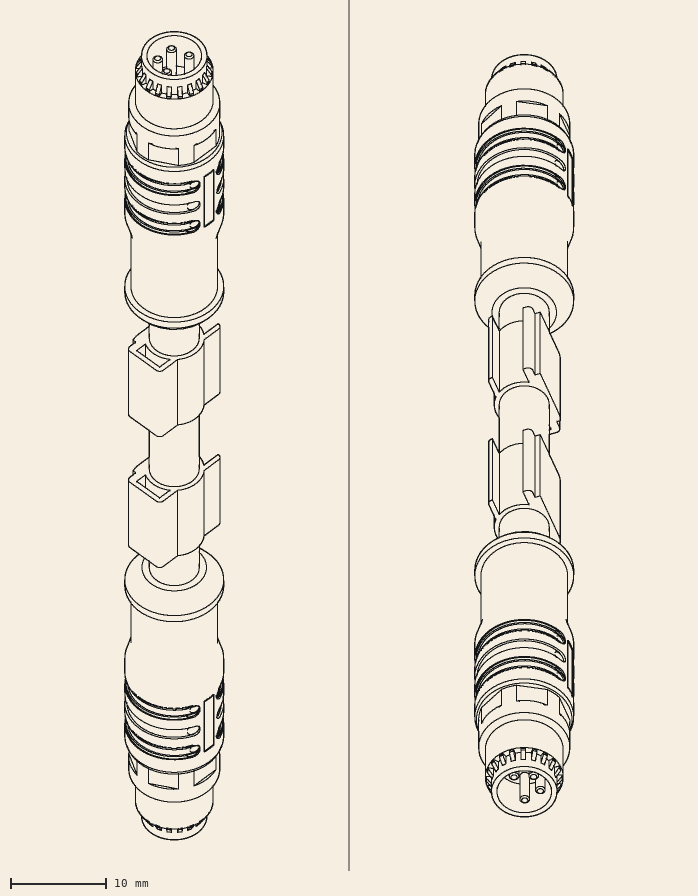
import cadquery as cq
import math

total_length = 116.4
end_z = total_length / 2
key_angle = 20.0

cable_radius = 5.2 / 2

nose_radius = 6.9 / 2
barrel_radius = 4.1
nut_radius = 4.8
grip_radius = 10.4 / 2
boot_radius = 4.5
boot_end_radius = 3.4
barrel_start = 2.3
nut_start = 7.2
nut_slope_length = 0.3
grip_start = 11.8
taper_start = 24.2
boot_start = 26.7
collar_start = 35.3
collar_end = 36.2
connector_length = 38.1
grip_chamfer_length = 0.5
grip_chamfer_depth = 0.17
collar_bulge = 0.1

bore_radius = 5.7 / 2
bore_depth = 4.7
pin_radius = 0.5
pin_circle_radius = 1.7
pin_recess = 0.7
pin_chamfer = 0.17
pin_places = 5

rib_count = 20
rib_start = 1.2
rib_width = 0.5
rib_outer_radius = 4.0
rib_foot_length = 0.2

flat_count = 6
flat_distance = 9.0 / 2
flat_start = 9.2

groove_middle = 18.0
groove_pitch = 3.0
middle_groove_width = 1.4
middle_groove_depth = 0.2
outer_groove_width = 1.7
outer_groove_depth = 0.1
inner_groove_width = 1.0
inner_groove_depth = 0.29
groove_end_angle = 14.0
panel_width = 1.4
panel_length = 7.7
panel_depth = 0.1

clip_length = 10.0
clip_gap = 10.0
clip_half_width = 4.7
clip_back_x = -2.5
clip_front_x = 2.5
clip_wall = 0.6
clip_base_thickness = 0.9
clip_corner_radius = 0.52
clip_ring_radius = 3.1
label_face_x = -3.0
label_low_y = -3.3
label_bend_y = -2.2
label_high_y = 3.5
label_bend_drop = 0.17


def connector_body():
    """Turned body of the upper connector, from its mating end down to the cable."""
    bulge_point = (
        (grip_radius + boot_end_radius) / 2 + collar_bulge,
        end_z - (collar_end + connector_length) / 2 - collar_bulge,
    )
    return (
        cq.Workplane("XZ")
        .moveTo(0, end_z)
        .lineTo(nose_radius, end_z)
        .lineTo(nose_radius, end_z - barrel_start)
        .lineTo(barrel_radius, end_z - barrel_start)
        .lineTo(barrel_radius, end_z - nut_start + nut_slope_length)
        .lineTo(nut_radius, end_z - nut_start)
        .lineTo(nut_radius, end_z - grip_start)
        .lineTo(grip_radius - grip_chamfer_depth, end_z - grip_start)
        .lineTo(grip_radius, end_z - grip_start - grip_chamfer_length)
        .lineTo(grip_radius, end_z - taper_start)
        .lineTo(boot_radius, end_z - boot_start)
        .lineTo(boot_radius, end_z - collar_start)
        .lineTo(grip_radius, end_z - collar_start)
        .lineTo(grip_radius, end_z - collar_end)
        .threePointArc(bulge_point, (boot_end_radius, end_z - connector_length))
        .lineTo(0, end_z - connector_length)
        .close()
        .revolve(360, (0, 0, 0), (0, 1, 0))
    )


def socket():
    """Bore in the nose, keeping the contact pins that stand on its floor."""
    floor_z = end_z - bore_depth
    bore = cq.Workplane("XY").workplane(offset=floor_z).circle(bore_radius).extrude(bore_depth)
    angles = [math.radians(360 / pin_places * place) for place in range(1, pin_places)]
    centres = [(pin_circle_radius * math.cos(a), pin_circle_radius * math.sin(a)) for a in angles]
    pins = (
        cq.Workplane("XY")
        .workplane(offset=floor_z)
        .pushPoints(centres)
        .circle(pin_radius)
        .extrude(bore_depth - pin_recess)
        .faces(">Z")
        .chamfer(pin_chamfer)
    )
    return bore.cut(pins)


def rib():
    """Gusset rib on the +X side, its foot on the step and its back inside the nose wall."""
    back_radius = (bore_radius + nose_radius) / 2
    return (
        cq.Workplane("XZ")
        .moveTo(back_radius, end_z - barrel_start)
        .lineTo(back_radius, end_z - rib_start)
        .lineTo(nose_radius, end_z - rib_start)
        .lineTo(rib_outer_radius, end_z - barrel_start + rib_foot_length)
        .lineTo(rib_outer_radius, end_z - barrel_start)
        .close()
        .extrude(rib_width / 2, both=True)
    )


def around_axis(shape, count):
    """Equally spaced copies of a shape around Z."""
    copies = cq.Workplane("XY")
    for index in range(count):
        copies = copies.add(shape.rotate((0, 0, 0), (0, 0, 1), 360 / count * index))
    return copies.combine()


def outside_box(inner_x, width, start, length):
    """Block outside x = inner_x, reaching beyond the grip, from a given station inwards."""
    return (
        cq.Workplane("XY")
        .box(grip_radius, width, length, centered=(False, True, False))
        .translate((inner_x, 0, end_z - start - length))
    )


def finger_groove(station, width, depth):
    """Round-ended groove around one half of the grip, between the two panels."""
    floor_radius = grip_radius - depth
    z = end_z - station
    tip_angle = math.degrees(width / 2 / grip_radius)
    first_angle = groove_end_angle + tip_angle
    sweep = 180 - 2 * first_angle
    groove = (
        cq.Workplane("XZ")
        .moveTo(floor_radius, z - width / 2)
        .lineTo(2 * grip_radius, z - width / 2)
        .lineTo(2 * grip_radius, z + width / 2)
        .lineTo(floor_radius, z + width / 2)
        .close()
        .revolve(sweep, (0, 0, 0), (0, 1, 0))
        .rotate((0, 0, 0), (0, 0, 1), first_angle)
    )
    tip = (
        cq.Workplane("YZ")
        .workplane(offset=floor_radius * math.cos(math.radians(tip_angle)))
        .center(0, z)
        .circle(width / 2)
        .extrude(grip_radius)
    )
    for angle in (first_angle, first_angle + sweep):
        groove = groove.union(tip.rotate((0, 0, 0), (0, 0, 1), angle))
    return groove


def connector():
    """Upper connector with its ribs, socket, flats, panels and grooves."""
    wrench_flat = outside_box(flat_distance, nut_radius, flat_start, grip_start - flat_start)
    panel = outside_box(
        grip_radius - panel_depth, panel_width, groove_middle - panel_length / 2, panel_length
    )
    grooves = [(groove_middle, middle_groove_width, middle_groove_depth)]
    for station in (groove_middle - groove_pitch, groove_middle + groove_pitch):
        grooves.append((station, outer_groove_width, outer_groove_depth))
        grooves.append((station, inner_groove_width, inner_groove_depth))

    body = connector_body().union(around_axis(rib(), rib_count)).cut(socket())
    body = body.cut(around_axis(wrench_flat, flat_count))
    body = body.cut(around_axis(panel, 2))
    for groove in grooves:
        body = body.cut(around_axis(finger_groove(*groove), 2))
    return body


def block(x_range, y_range):
    """Clip-long block with its lower end at z = 0, over the given X and Y ranges."""
    return (
        cq.Workplane("XY")
        .box(x_range[1] - x_range[0], y_range[1] - y_range[0], clip_length, centered=False)
        .translate((x_range[0], y_range[0], 0))
    )


def clip():
    """Marker clip: C-shaped frame open towards +Y, label plate on its back, ring on the cable."""
    outer_y = clip_half_width
    base = block((clip_back_x, clip_back_x + clip_base_thickness), (-outer_y, outer_y))
    side_wall = block((clip_back_x, clip_front_x), (-outer_y, clip_wall - outer_y))
    front_wall = block((clip_front_x - clip_wall, clip_front_x), (-outer_y, outer_y))
    frame = base.union(side_wall).union(front_wall)
    frame = frame.edges("|Z and (<X or >X)").fillet(clip_corner_radius)
    label = (
        cq.Workplane("XY")
        .moveTo(clip_back_x, label_high_y)
        .lineTo(label_face_x, label_high_y)
        .lineTo(label_face_x, label_bend_y)
        .tangentArcPoint((label_face_x + label_bend_drop, label_low_y), relative=False)
        .lineTo(clip_back_x, label_low_y)
        .close()
        .extrude(clip_length)
    )
    ring = cq.Workplane("XY").circle(clip_ring_radius).extrude(clip_length)
    ring = ring.intersect(block((clip_back_x, clip_ring_radius), (-clip_ring_radius, clip_ring_radius)))
    return frame.union(label).union(ring)


cable_length = total_length - 2 * connector_length
part = cq.Workplane("XY").circle(cable_radius).extrude(cable_length / 2, both=True)
for clip_z in (clip_gap / 2, -clip_gap / 2 - clip_length):
    part = part.union(clip().translate((0, 0, clip_z)))
upper_connector = connector()
part = part.union(upper_connector).union(upper_connector.mirror("XY"))

result = part.rotate((0, 0, 0), (0, 0, 1), key_angle)